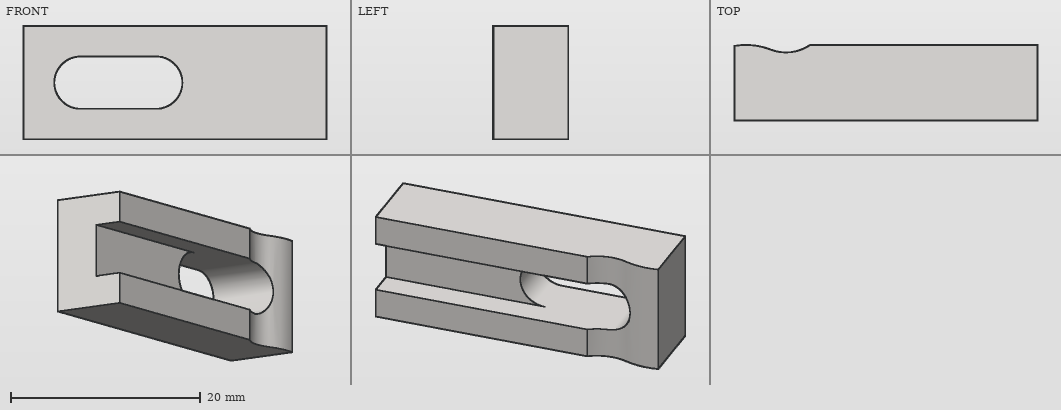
import cadquery as cq
import math

LENGTH = 32.0
DEPTH = 8.0
HEIGHT = 12.0

SLOT_START = 3.25
SLOT_LENGTH = 13.5
SLOT_WIDTH = 5.5

GROOVE_DEPTH = 3.0

HOLLOW_X = 5.45
HOLLOW_DEPTH = 0.8
HOLLOW_RADIUS = 4.5
CREST_RADIUS = 7.0


def make_body():
    """Extrude the plan outline, whose crest and hollow arcs are tangent."""
    hollow_y = DEPTH - HOLLOW_DEPTH + HOLLOW_RADIUS
    crest_y = DEPTH - CREST_RADIUS
    center_distance = CREST_RADIUS + HOLLOW_RADIUS
    center_rise = hollow_y - crest_y
    crest_x = HOLLOW_X - math.sqrt(center_distance**2 - center_rise**2)

    share = CREST_RADIUS / center_distance
    tangent_point = (crest_x + share * (HOLLOW_X - crest_x), crest_y + share * center_rise)

    hollow_end_x = HOLLOW_X + math.sqrt(HOLLOW_RADIUS**2 - (hollow_y - DEPTH)**2)
    nose_y = crest_y + math.sqrt(CREST_RADIUS**2 - crest_x**2)

    return (
        cq.Workplane("XY")
        .workplane(offset=-HEIGHT / 2)
        .moveTo(0, 0)
        .lineTo(LENGTH, 0)
        .lineTo(LENGTH, DEPTH)
        .lineTo(hollow_end_x, DEPTH)
        .threePointArc((HOLLOW_X, DEPTH - HOLLOW_DEPTH), tangent_point)
        .threePointArc((crest_x, DEPTH), (0, nose_y))
        .close()
        .extrude(HEIGHT)
    )


def make_slot():
    """Round-ended slot cutter through the full depth of the block."""
    return (
        cq.Workplane("XZ")
        .center(SLOT_START + SLOT_LENGTH / 2, 0)
        .slot2D(SLOT_LENGTH, SLOT_WIDTH)
        .extrude(-DEPTH)
    )


def make_groove():
    """Straight groove cutter starting at the middle of the slot."""
    groove_start = SLOT_START + SLOT_LENGTH / 2
    return cq.Workplane("XY").box(
        LENGTH - groove_start, GROOVE_DEPTH, SLOT_WIDTH, centered=(False, False, True)
    ).translate((groove_start, DEPTH - GROOVE_DEPTH, 0))


result = make_body().cut(make_slot()).cut(make_groove())